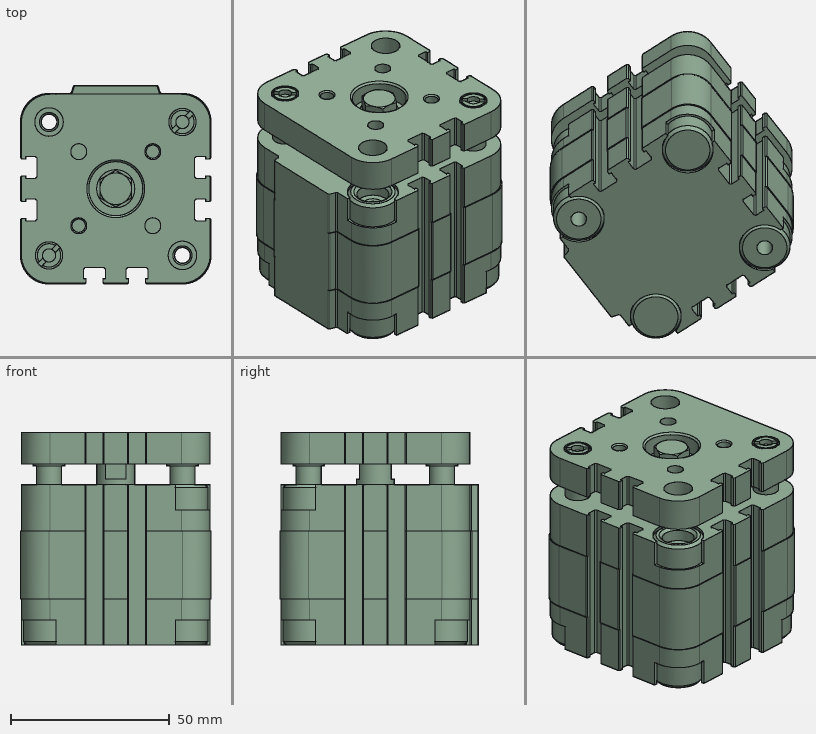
import cadquery as cq

BARREL_BOTTOM = 14.5
BARREL_TOP = 36.0
HOUSING_TOP = 50.5
PLATE_BOTTOM = 57.0
PLATE_TOP = 67.0

CAP_SIDE = 59.5
BARREL_SIDE = 60.0
CORNER_RADIUS = 9.0
HOLE_PITCH = 42.0
CORNER = HOLE_PITCH / 2

SLOT_OFFSET = 6.7
SLOT_MOUTH = 5.3
SLOT_WIDTH = 6.85
SLOT_FLOOR = 24.85
SLOT_LIP = 28.35
LIP_CHAMFER = 0.4
FLOOR_CHAMFER = 0.5

RIB_REACH = 32.5
RIB_BASE_WIDTH = 27.35
RIB_TOP_WIDTH = 26.0
RIB_FILLET = 0.5
RIB_FLARE = 0.5

BOSS_DIA = 16.0
BOSS_FACE_DIA = 14.0
BOSS_HEIGHT = 8.0
BOSS_WALL = 18.75
TOP_BEVEL = 0.9
BOTTOM_BEVEL = 1.15

SOCKET_RIM_DIA = 12.0
SOCKET_DIA = 10.1
SOCKET_DEPTH = 4.55
SCREW_MOUTH_DIA = 6.0
SCREW_BORE_DIA = 4.9

ACCESS_DIA = 9.0
RECESS_DIA = 17.0
RECESS_CHAMFER = 0.6
RECESS_DEPTH = 6.0
FIXING_OFFSET = 11.65
FIXING_DIA = 5.0
TAPPED_DIA = 4.15

ROD_DIA = 12.0
ROD_FLATS = 10.1
ROD_FLAT_BOTTOM = 52.25
GUIDE_DIA = 8.0
COLLAR_DIA = 10.0
COLLAR_HEIGHT = 0.55
ROD_END = BARREL_BOTTOM

SHOULDER_HEIGHT = 1.2
HEX_FLATS = 10.0
HEX_TOP_GAP = 0.6
HEX_BEVEL_DROP = 0.4
HEX_BEVEL_SPREAD = 1.6

SCREW_SEAT_DIA = 8.6
SCREW_HEAD_DIA = 7.4
SCREW_GAP_DEPTH = 0.6
SCREW_SOCKET_DIA = 4.15
SCREW_SOCKET_DEPTH = 1.7
DRIVER_SLOT_WIDTH = 1.55
DRIVER_SLOT_DEPTH = 1.35

GUIDE_CORNERS = [(CORNER, CORNER), (-CORNER, -CORNER)]
SCREW_CORNERS = [(CORNER, -CORNER), (-CORNER, CORNER)]


def disc(dia, bottom, top, places=((0, 0),)):
    """Upright cylinders from one height to another."""
    base = cq.Workplane("XY", origin=(0, 0, bottom)).pushPoints(places)
    return base.circle(dia / 2).extrude(top - bottom)


def cone(bottom_dia, top_dia, bottom, top):
    """Upright cone frustum on the Z axis."""
    return (
        cq.Workplane("XZ")
        .polyline([(0, bottom), (bottom_dia / 2, bottom), (top_dia / 2, top), (0, top)])
        .close()
        .revolve(360, (0, 0, 0), (0, 1, 0))
    )


def rounded_block(side, bottom, top):
    """Square block with rounded upright edges."""
    return (
        cq.Workplane("XY", origin=(0, 0, bottom))
        .rect(side, side)
        .extrude(top - bottom)
        .edges("|Z")
        .fillet(CORNER_RADIUS)
    )


def slot_cutter(side, middle, bottom, top):
    """T slot open towards -Y in a block of the given side."""
    face = side / 2
    half = [
        (SLOT_MOUTH / 2 + LIP_CHAMFER, face),
        (SLOT_MOUTH / 2, face - LIP_CHAMFER),
        (SLOT_MOUTH / 2, SLOT_LIP),
        (SLOT_WIDTH / 2, SLOT_LIP),
        (SLOT_WIDTH / 2, SLOT_FLOOR + FLOOR_CHAMFER),
        (SLOT_WIDTH / 2 - FLOOR_CHAMFER, SLOT_FLOOR),
    ]
    right = [(middle + across, -out) for across, out in half]
    left = [(middle - across, -out) for across, out in reversed(half)]
    return cq.Workplane("XY", origin=(0, 0, bottom)).polyline(right + left).close().extrude(top - bottom)


def slotted_block(side, bottom, top):
    """Rounded block with two T slots on the -X, -Y and +X sides."""
    block = rounded_block(side, bottom, top)
    for turn in (-90, 0, 90):
        for middle in (-SLOT_OFFSET, SLOT_OFFSET):
            cutter = slot_cutter(side, middle, bottom, top)
            block = block.cut(cutter.rotate((0, 0, 0), (0, 0, 1), turn))
    return block


def rib(outset, bottom, top):
    """Rib with slanted flanks and a flared foot on the +Y side, flanks moved out by the given amount."""
    root = CAP_SIDE / 2 - CORNER_RADIUS
    foot = CAP_SIDE / 2 + outset
    base = RIB_BASE_WIDTH / 2 + outset
    crest = RIB_TOP_WIDTH / 2 + outset
    half = [
        (base + RIB_FLARE, root),
        (base + RIB_FLARE, foot),
        (base, foot + RIB_FLARE),
        (crest, RIB_REACH),
    ]
    outline = half + [(-across, out) for across, out in reversed(half)]
    block = cq.Workplane("XY", origin=(0, 0, bottom)).polyline(outline).close().extrude(top - bottom)
    return block.faces(">Y").edges("|Z").fillet(RIB_FILLET)


def boss_cutter(bevel):
    """Material removed around a corner boss at the bottom of the +X +Y corner.

    A square notch leaves a round boss, and a bevel runs all round the boss face.
    """
    notch_side = RIB_REACH - BOSS_WALL
    notch = (
        cq.Workplane("XY")
        .box(notch_side, notch_side, BOSS_HEIGHT, centered=False)
        .translate((BOSS_WALL, BOSS_WALL, 0))
        .cut(disc(BOSS_DIA, 0, BOSS_HEIGHT, [(CORNER, CORNER)]))
    )
    groove = disc(BOSS_DIA, 0, bevel).cut(cone(BOSS_FACE_DIA, BOSS_DIA, 0, bevel))
    return notch.union(groove.translate((CORNER, CORNER, 0)))


def screw_bore():
    """Socket and through bore of a hollow screw."""
    rim_depth = (SOCKET_RIM_DIA - SOCKET_DIA) / 2
    floor = HOUSING_TOP - SOCKET_DEPTH
    mouth_depth = (SCREW_MOUTH_DIA - SCREW_BORE_DIA) / 2
    bore = disc(SCREW_BORE_DIA, 0, HOUSING_TOP)
    bore = bore.union(disc(SOCKET_DIA, floor, HOUSING_TOP))
    bore = bore.union(cone(SOCKET_DIA, SOCKET_RIM_DIA, HOUSING_TOP - rim_depth, HOUSING_TOP))
    return bore.union(cone(SCREW_BORE_DIA, SCREW_MOUTH_DIA, floor - mouth_depth, floor))


def make_housing():
    body = slotted_block(CAP_SIDE, 0, BARREL_BOTTOM)
    body = body.union(slotted_block(BARREL_SIDE, BARREL_BOTTOM, BARREL_TOP))
    body = body.union(slotted_block(CAP_SIDE, BARREL_TOP, HOUSING_TOP))
    body = body.union(rib(0, 0, BARREL_BOTTOM))
    body = body.union(rib((BARREL_SIDE - CAP_SIDE) / 2, BARREL_BOTTOM, BARREL_TOP))
    body = body.union(rib(0, BARREL_TOP, HOUSING_TOP))

    bottom_boss = boss_cutter(BOTTOM_BEVEL)
    for turn in (0, 90, 180, 270):
        body = body.cut(bottom_boss.rotate((0, 0, 0), (0, 0, 1), turn))
    top_boss = boss_cutter(TOP_BEVEL).mirror("XY").translate((0, 0, HOUSING_TOP))
    for turn in (90, 270):
        body = body.cut(top_boss.rotate((0, 0, 0), (0, 0, 1), turn))

    for x, y in SCREW_CORNERS:
        body = body.cut(screw_bore().translate((x, y, 0)))
    body = body.cut(disc(ROD_DIA, ROD_END, HOUSING_TOP))
    return body.cut(disc(GUIDE_DIA, ROD_END, HOUSING_TOP, GUIDE_CORNERS))


def make_plate():
    plate = slotted_block(CAP_SIDE, PLATE_BOTTOM, PLATE_TOP)
    plate = plate.cut(disc(ACCESS_DIA, PLATE_BOTTOM, PLATE_TOP, SCREW_CORNERS))
    plate = plate.cut(disc(RECESS_DIA, PLATE_TOP - RECESS_DEPTH, PLATE_TOP))
    rim_dia = RECESS_DIA + 2 * RECESS_CHAMFER
    plate = plate.cut(cone(RECESS_DIA, rim_dia, PLATE_TOP - RECESS_CHAMFER, PLATE_TOP))

    plain = [(FIXING_OFFSET, -FIXING_OFFSET), (-FIXING_OFFSET, FIXING_OFFSET)]
    plate = plate.cut(disc(FIXING_DIA, PLATE_BOTTOM, PLATE_TOP, plain))
    tapped = [(FIXING_OFFSET, FIXING_OFFSET), (-FIXING_OFFSET, -FIXING_OFFSET)]
    plate = plate.cut(disc(TAPPED_DIA, PLATE_BOTTOM, PLATE_TOP, tapped))
    sink_depth = (FIXING_DIA - TAPPED_DIA) / 2
    sink = cone(TAPPED_DIA, FIXING_DIA, PLATE_TOP - sink_depth, PLATE_TOP)
    for x, y in tapped:
        plate = plate.cut(sink.translate((x, y, 0)))
    return plate


def make_rod():
    rod = disc(ROD_DIA, ROD_END, PLATE_BOTTOM)
    flats = (
        cq.Workplane("XY", origin=(0, 0, ROD_FLAT_BOTTOM))
        .rect(ROD_DIA, ROD_FLATS)
        .extrude(PLATE_BOTTOM - ROD_FLAT_BOTTOM)
    )
    return rod.cut(disc(ROD_DIA, ROD_FLAT_BOTTOM, PLATE_BOTTOM).cut(flats))


def make_hex_end():
    """Shoulder and bevelled hexagon standing on the recess floor."""
    floor = PLATE_TOP - RECESS_DEPTH
    hex_top = PLATE_TOP - HEX_TOP_GAP
    shoulder = disc(ROD_DIA, floor, floor + SHOULDER_HEIGHT)
    hexagon = (
        cq.Workplane("XY", origin=(0, 0, floor))
        .polygon(6, HEX_FLATS, circumscribed=True)
        .extrude(hex_top - floor)
    )
    bevel_bottom_dia = HEX_FLATS + HEX_BEVEL_SPREAD
    envelope = disc(bevel_bottom_dia, floor, hex_top - HEX_BEVEL_DROP).union(
        cone(bevel_bottom_dia, HEX_FLATS, hex_top - HEX_BEVEL_DROP, hex_top)
    )
    return shoulder.union(hexagon.intersect(envelope))


def guide_screw_cutter():
    """Gap round a flush screw head, its driver slot along the XY diagonal and its socket."""
    gap_bottom = PLATE_TOP - SCREW_GAP_DEPTH
    gap = disc(SCREW_SEAT_DIA, gap_bottom, PLATE_TOP).cut(disc(SCREW_HEAD_DIA, gap_bottom, PLATE_TOP))
    socket = disc(SCREW_SOCKET_DIA, PLATE_TOP - SCREW_SOCKET_DEPTH, PLATE_TOP)
    slot_bottom = PLATE_TOP - DRIVER_SLOT_DEPTH
    slot = (
        cq.Workplane("XY", origin=(0, 0, slot_bottom))
        .transformed(rotate=(0, 0, 45))
        .rect(SCREW_SEAT_DIA, DRIVER_SLOT_WIDTH)
        .extrude(DRIVER_SLOT_DEPTH)
        .intersect(disc(SCREW_SEAT_DIA, slot_bottom, PLATE_TOP))
    )
    return gap.union(socket).union(slot)


def make_piston():
    """Front plate with its piston rod and two guide rods."""
    piston = make_plate().union(make_rod()).union(make_hex_end())
    piston = piston.union(disc(GUIDE_DIA, ROD_END, PLATE_BOTTOM, GUIDE_CORNERS))
    piston = piston.union(disc(COLLAR_DIA, PLATE_BOTTOM - COLLAR_HEIGHT, PLATE_BOTTOM, GUIDE_CORNERS))
    for x, y in GUIDE_CORNERS:
        piston = piston.cut(guide_screw_cutter().translate((x, y, 0)))
    return piston


housing = make_housing()
piston = make_piston()
result = cq.Compound.makeCompound([housing.val(), piston.val()])